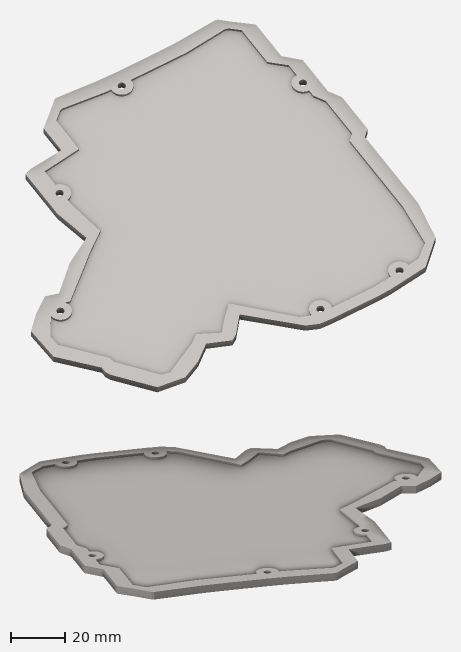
import cadquery as cq

LENGTH_X = 142.63
WIDTH_Y = 155.99
THICKNESS = 3.0
POCKET_DEPTH = 1.0
POCKET_FLOOR = THICKNESS - POCKET_DEPTH

X_MAX = LENGTH_X / 2
X_MIN = -X_MAX
Y_MAX = WIDTH_Y / 2
Y_MIN = -Y_MAX

SCREW_HOLE_DIAMETER = 3.0
SCREW_BOSS_DIAMETER = 8.5
SCREW_POINTS = [
    (-29.0, 69.4),
    (-63.3, 12.1),
    (65.2, 52.3),
    (65.2, 17.9),
    (-32.4, -34.3),
    (15.0, -63.7),
]

LEFT_FLANK_AXIS_Y = 23.2

BACK_LEFT_Y = 69.4
BACK_Y = 75.1
LOWER_LEFT_Y = -40.2
POCKET_BACK_LEFT_Y = 63.5
POCKET_BACK_Y = 69.4
POCKET_BACK_STEP_Y = 72.0
POCKET_LOWER_LEFT_Y = -33.5


def mirrored_flank(upper_half):
    """Whole left flank, running upward, from its upper half listed upward."""
    lower_half = [(x, 2 * LEFT_FLANK_AXIS_Y - y) for x, y in reversed(upper_half)]
    return lower_half + upper_half


OUTER_LEFT_FLANK = mirrored_flank([
    (-69.8, 32.2),
    (-70.0, 40.1),
    (-70.3, 44.2),
    (X_MIN, 58.0),
    (-70.9, 58.9),
    (-67.8, 62.2),
    (-61.6, BACK_LEFT_Y),
])
OUTER_BACK = [
    (-43.9, BACK_LEFT_Y),
    (-38.2, BACK_Y),
    (-20.7, BACK_Y),
    (-15.6, Y_MAX),
    (2.0, Y_MAX),
    (4.9, BACK_Y),
    (42.0, BACK_Y),
]
OUTER_RIGHT = [
    (58.9, 71.9),
    (68.9, 61.3),
    (71.0, 45.1),
    (X_MAX, 39.6),
    (X_MAX, 19.3),
    (71.0, 14.0),
    (68.9, 9.1),
    (51.5, -8.7),
]
OUTER_LOBE = [
    (58.8, -14.8),
    (60.5, -17.4),
    (56.7, -26.5),
    (62.3, -33.5),
    (66.1, -41.4),
    (64.6, -52.7),
    (50.4, -64.2),
    (48.3, -65.1),
    (45.9, -65.1),
    (32.0, -77.4),
    (17.3, Y_MIN),
    (11.3, -71.9),
    (6.1, -64.9),
    (7.7, -59.8),
    (-2.4, -48.8),
    (-9.2, -37.2),
]
OUTER_LOWER_LEFT = [
    (-24.5, LOWER_LEFT_Y),
    (-46.7, LOWER_LEFT_Y),
    (-47.8, -37.5),
    (-49.3, -23.0),
]

POCKET_LEFT_FLANK = mirrored_flank([
    (-63.9, 40.6),
    (-65.8, 58.6),
    (-65.3, 59.9),
    (-62.1, POCKET_BACK_LEFT_Y),
])
POCKET_BACK = [
    (-44.3, POCKET_BACK_LEFT_Y),
    (-38.8, POCKET_BACK_Y),
    (-21.8, POCKET_BACK_Y),
    (-17.2, POCKET_BACK_STEP_Y),
    (0.9, POCKET_BACK_STEP_Y),
    (3.4, POCKET_BACK_Y),
    (40.1, POCKET_BACK_Y),
]
POCKET_RIGHT = [
    (59.1, 67.2),
    (64.1, 61.2),
    (66.1, 46.4),
    (66.8, 40.1),
    (66.8, 18.5),
    (65.7, 12.7),
    (64.1, 9.1),
    (45.0, -9.2),
]
POCKET_LOBE = [
    (49.1, -13.5),
    (55.3, -18.9),
    (50.9, -27.2),
    (53.8, -30.9),
    (61.1, -44.9),
    (60.4, -48.3),
    (45.9, -59.8),
    (43.3, -60.3),
    (28.0, -73.1),
    (23.5, -73.3),
    (15.3, -68.1),
    (11.6, -63.3),
    (13.1, -58.3),
    (-3.2, -39.1),
    (-9.2, -31.2),
]
POCKET_LOWER_LEFT = [
    (-25.9, POCKET_LOWER_LEFT_Y),
    (-44.1, POCKET_LOWER_LEFT_Y),
    (-46.3, -17.2),
]

OUTER_OUTLINE = OUTER_LEFT_FLANK + OUTER_BACK + OUTER_RIGHT + OUTER_LOBE + OUTER_LOWER_LEFT
POCKET_OUTLINE = POCKET_LEFT_FLANK + POCKET_BACK + POCKET_RIGHT + POCKET_LOBE + POCKET_LOWER_LEFT


def plate():
    return cq.Workplane("XY").polyline(OUTER_OUTLINE).close().extrude(THICKNESS)


def screw_cylinders(diameter, bottom_z, height):
    plane = cq.Workplane("XY").workplane(offset=bottom_z)
    return plane.pushPoints(SCREW_POINTS).circle(diameter / 2).extrude(height)


def pocket():
    """Shallow recess in the top face, leaving the rim and the screw bosses standing."""
    plane = cq.Workplane("XY").workplane(offset=POCKET_FLOOR)
    recess = plane.polyline(POCKET_OUTLINE).close().extrude(POCKET_DEPTH)
    return recess.cut(screw_cylinders(SCREW_BOSS_DIAMETER, POCKET_FLOOR, POCKET_DEPTH))


result = plate().cut(pocket()).cut(screw_cylinders(SCREW_HOLE_DIAMETER, 0, THICKNESS))